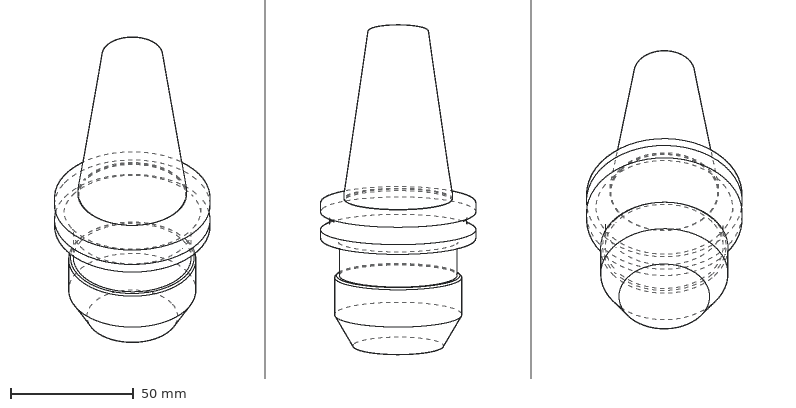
import cadquery as cq
import math

TOTAL_HEIGHT = 131.2
NOSE_HEIGHT = 13.0
COLLAR_TOP = 29.3
FLANGE_BOTTOM = 44.2
FLANGE_TOP = 60.1
GAUGE_HEIGHT = 63.0

NOSE_RADIUS = 18.5
COLLAR_RADIUS = 26.0
NECK_RADIUS = 24.0
FLANGE_RADIUS = 31.8
GAUGE_RADIUS = 22.2
TAPER_TOP_RADIUS = 12.3

GROOVE_RADIUS = 28.0
GROOVE_LOWER_EDGE = 48.4
GROOVE_UPPER_EDGE = 55.6
GROOVE_WALL_ANGLE = 30.0
GROOVE_FILLET = 0.7

RELIEF_DEPTH = 0.4
RELIEF_LIP_HEIGHT = 0.3

EDGE_CHAMFER = 0.8
FLANGE_FILLET = 0.8
NECK_FILLET = 2.1
TAPER_FILLET = 0.8
TAPER_TOP_FILLET = 0.8


def make_body():
    """Revolve the stepped outline, from the nose up to the small end of the taper."""
    relief_radius = GAUGE_RADIUS - RELIEF_DEPTH
    relief_height = FLANGE_TOP + TAPER_FILLET
    outline = (
        cq.Workplane("XZ")
        .lineTo(NOSE_RADIUS, 0)
        .lineTo(COLLAR_RADIUS, NOSE_HEIGHT)
        .lineTo(COLLAR_RADIUS, COLLAR_TOP - EDGE_CHAMFER)
        .lineTo(COLLAR_RADIUS - EDGE_CHAMFER, COLLAR_TOP)
        .lineTo(NECK_RADIUS, COLLAR_TOP)
        .lineTo(NECK_RADIUS, FLANGE_BOTTOM - NECK_FILLET)
        .radiusArc((NECK_RADIUS + NECK_FILLET, FLANGE_BOTTOM), NECK_FILLET)
        .lineTo(FLANGE_RADIUS - FLANGE_FILLET, FLANGE_BOTTOM)
        .radiusArc((FLANGE_RADIUS, FLANGE_BOTTOM + FLANGE_FILLET), -FLANGE_FILLET)
        .lineTo(FLANGE_RADIUS, FLANGE_TOP - FLANGE_FILLET)
        .radiusArc((FLANGE_RADIUS - FLANGE_FILLET, FLANGE_TOP), -FLANGE_FILLET)
        .lineTo(relief_radius + TAPER_FILLET, FLANGE_TOP)
        .radiusArc((relief_radius, relief_height), TAPER_FILLET)
        .lineTo(GAUGE_RADIUS, relief_height + RELIEF_LIP_HEIGHT)
        .lineTo(GAUGE_RADIUS, GAUGE_HEIGHT)
        .lineTo(TAPER_TOP_RADIUS, TOTAL_HEIGHT)
        .lineTo(0, TOTAL_HEIGHT)
        .close()
    )
    body = outline.revolve(360, (0, 0, 0), (0, 1, 0))
    return body.faces(">Z").edges().fillet(TAPER_TOP_FILLET)


def make_groove():
    """Ring with sloping walls that forms the gripper groove."""
    wall_rise = (FLANGE_RADIUS - GROOVE_RADIUS) * math.tan(math.radians(GROOVE_WALL_ANGLE))
    section = [
        (FLANGE_RADIUS, GROOVE_LOWER_EDGE),
        (GROOVE_RADIUS, GROOVE_LOWER_EDGE + wall_rise),
        (GROOVE_RADIUS, GROOVE_UPPER_EDGE - wall_rise),
        (FLANGE_RADIUS, GROOVE_UPPER_EDGE),
    ]
    ring = cq.Workplane("XZ").polyline(section).close().revolve(360, (0, 0, 0), (0, 1, 0))
    root_edges = ring.edges(cq.selectors.RadiusNthSelector(0))
    return root_edges.fillet(GROOVE_FILLET)


result = make_body().cut(make_groove())